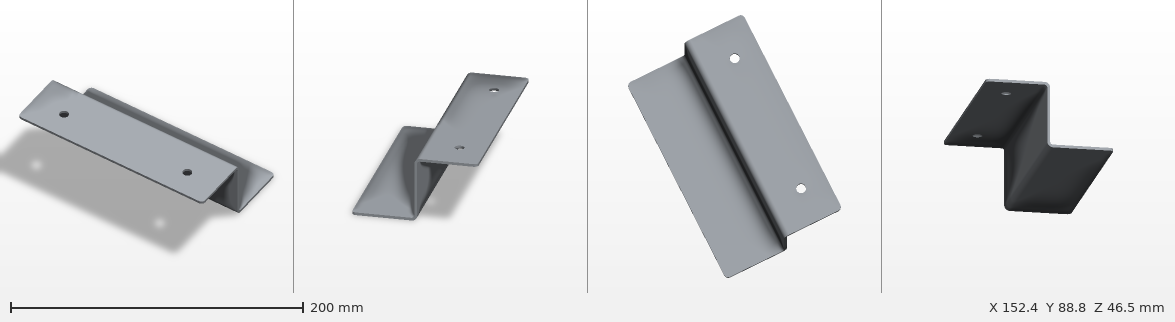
import cadquery as cq

length = 152.4
depth = 88.8
height = 46.5

sheet = 2.0
inner_bend_radius = 2.0
outer_bend_radius = inner_bend_radius + sheet
corner_radius = 3.0

upper_flange_depth = 44.5

hole_diameter = 6.7
hole_spacing = 101.7
hole_from_front = 18.9

front = -depth / 2
back = depth / 2
web_back = front + upper_flange_depth
web_front = web_back - sheet


def bracket_profile():
    """Closed Z-shaped section in the YZ plane with sharp bends."""
    return (
        cq.Workplane("YZ")
        .polyline([
            (front, height),
            (web_back, height),
            (web_back, sheet),
            (back, sheet),
            (back, 0),
            (web_front, 0),
            (web_front, height - sheet),
            (front, height - sheet),
        ])
        .close()
    )


def bend_edge(body, y, z):
    """Select the lengthwise edge at the given section point."""
    return body.edges(cq.selectors.NearestToPointSelector((0, y, z)))


def round_bends(body):
    """Round the inside and outside of both bends concentrically."""
    bends = [
        (web_back, height, outer_bend_radius),
        (web_front, height - sheet, inner_bend_radius),
        (web_front, 0, outer_bend_radius),
        (web_back, sheet, inner_bend_radius),
    ]
    for y, z, radius in bends:
        body = bend_edge(body, y, z).fillet(radius)
    return body


def round_flange_corners(body):
    """Round the free corners of both flanges."""
    for free_end in ("<Y", ">Y"):
        body = body.faces(free_end).edges("|Z").fillet(corner_radius)
    return body


def mounting_holes():
    """Cutters for the pair of holes through the upper flange."""
    return (
        cq.Workplane("XY")
        .workplane(offset=height - 2 * sheet)
        .pushPoints([(side * hole_spacing / 2, front + hole_from_front) for side in (-1, 1)])
        .circle(hole_diameter / 2)
        .extrude(3 * sheet)
    )


sheet_body = bracket_profile().extrude(length / 2, both=True)
result = round_flange_corners(round_bends(sheet_body)).cut(mounting_holes())